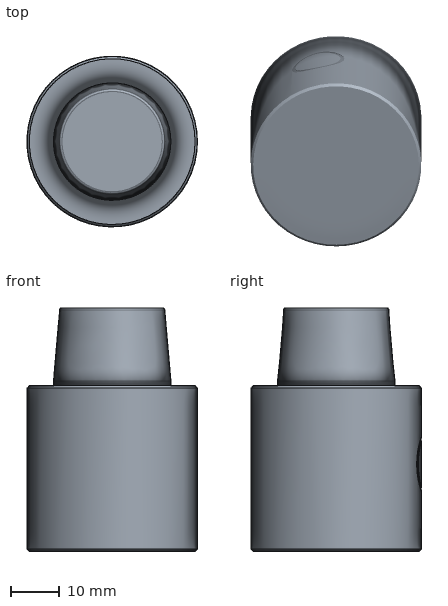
import cadquery as cq

body_diameter = 35.0
body_height = 34.0
body_edge = 0.5

total_height = 50.0
knob_base_diameter = 24.1
knob_top_diameter = 21.5
knob_collar_height = 1.0
knob_edge = 0.5

ring_center_height = 17.9
ring_outer_radius = 5.5
ring_inner_radius = 4.75
ring_depth = 0.1


def make_body():
    """Plain cylinder with both rims chamfered."""
    body = cq.Workplane("XY").circle(body_diameter / 2).extrude(body_height)
    return body.faces("<Z or >Z").edges().chamfer(body_edge)


def make_knob():
    """Short straight collar, then a taper up to a rounded top rim."""
    profile = (
        cq.Workplane("XZ")
        .moveTo(0, body_height)
        .lineTo(knob_base_diameter / 2, body_height)
        .lineTo(knob_base_diameter / 2, body_height + knob_collar_height)
        .lineTo(knob_top_diameter / 2, total_height)
        .lineTo(0, total_height)
        .close()
    )
    knob = profile.revolve(360, (0, 0, 0), (0, 1, 0))
    return knob.faces(">Z").edges().fillet(knob_edge)


def make_ring_cutter():
    """Tube along +Y, hollowed so that it cuts to an even depth below the body surface."""
    tube = (
        cq.Workplane("XZ", origin=(0, 0, ring_center_height))
        .circle(ring_outer_radius)
        .circle(ring_inner_radius)
        .extrude(-body_diameter)
    )
    groove_floor = cq.Workplane("XY").circle(body_diameter / 2 - ring_depth).extrude(body_height)
    return tube.cut(groove_floor)


result = make_body().union(make_knob()).cut(make_ring_cutter())